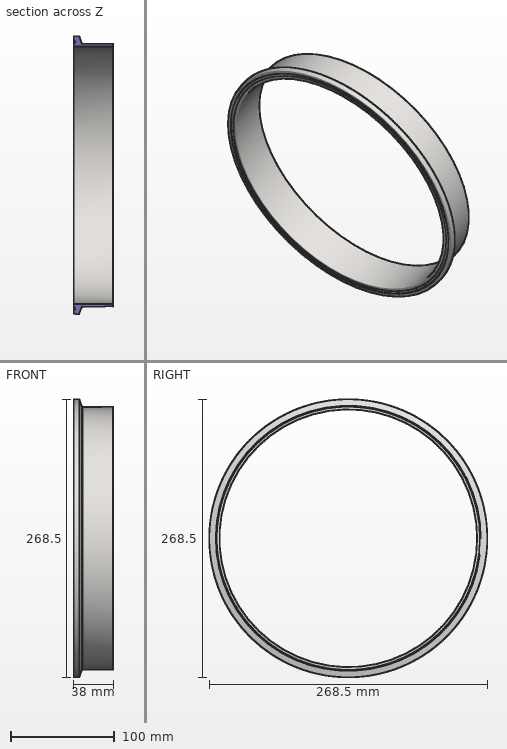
import cadquery as cq

length = 38.0
flange_diameter = 268.5
tube_diameter = 254.0
bore_diameter = 248.3
rim_width = 5.6
taper_end = 8.0
root_fillet = 1.3
edge_fillet = 0.4
groove_outer_diameter = 260.5
groove_inner_diameter = 255.0
groove_depth = 1.3
groove_lip_fillet = 0.5

flange_radius = flange_diameter / 2
tube_radius = tube_diameter / 2
bore_radius = bore_diameter / 2
groove_outer_radius = groove_outer_diameter / 2
groove_inner_radius = groove_inner_diameter / 2
groove_middle_radius = (groove_outer_radius + groove_inner_radius) / 2
tolerance = 0.03


def revolve_about_x(profile):
    """Turn an (X, radius) outline into a ring around the X axis."""
    return profile.close().revolve(360, (0, 0, 0), (1, 0, 0))


def circles_at(ring, x, radius):
    """Select the circular edge of the ring with this X and radius."""
    return ring.edges("%CIRCLE").filter(
        lambda edge: abs(edge.Center().x - x) < tolerance and abs(edge.radius() - radius) < tolerance
    )


def ferrule_body():
    """Tube with a clamp flange whose back slopes down to the tube."""
    ring = revolve_about_x(
        cq.Workplane("XY")
        .moveTo(0, bore_radius)
        .lineTo(0, flange_radius)
        .lineTo(rim_width, flange_radius)
        .lineTo(taper_end, tube_radius)
        .lineTo(length, tube_radius)
        .lineTo(length, bore_radius)
    )
    return circles_at(ring, taper_end, tube_radius).fillet(root_fillet)


def gasket_groove():
    """Round-bottomed groove in the flange face."""
    return revolve_about_x(
        cq.Workplane("XY")
        .moveTo(0, groove_inner_radius)
        .threePointArc((groove_depth, groove_middle_radius), (0, groove_outer_radius))
    )


ferrule = ferrule_body().cut(gasket_groove())

for lip_radius in (groove_inner_radius, groove_outer_radius):
    ferrule = circles_at(ferrule, 0, lip_radius).fillet(groove_lip_fillet)

for edge_x, edge_radius in ((0, bore_radius), (0, flange_radius), (rim_width, flange_radius)):
    ferrule = circles_at(ferrule, edge_x, edge_radius).fillet(edge_fillet)

result = ferrule